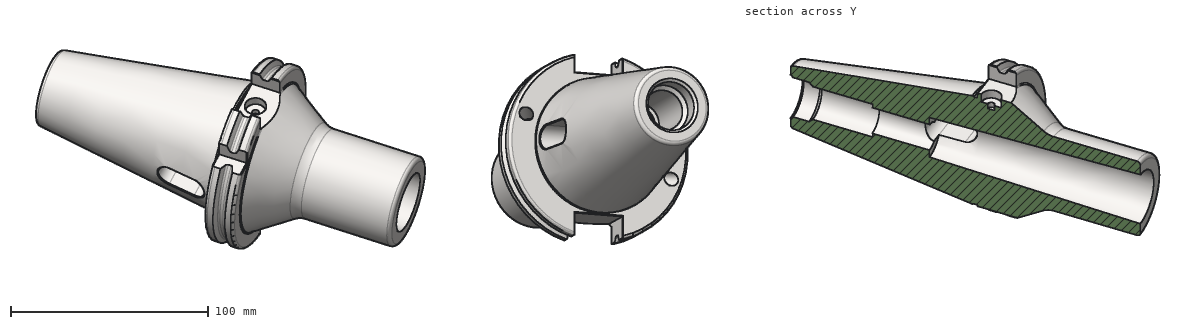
import cadquery as cq
import math


GAUGE_DIAMETER = 69.85
TAPER_RATIO = 7 / 24
SHANK_LENGTH = 101.75
SHANK_END_FILLET = 2.0
NECK_START = 0.5
NECK_END = 1.5
NECK_RADIUS = 34.6

FLANGE_DIAMETER = 97.5
FLANGE_START = 3.2
FLANGE_WIDTH = 15.9
RIM_FILLET = 1.5
GROOVE_CENTER = 11.2
GROOVE_RADIUS = 45.65
GROOVE_FLOOR_WIDTH = 3.0
GROOVE_WALL_ANGLE = 30.0
GROOVE_FLOOR_FILLET = 1.2

NOSE_DIAMETER = 48.0
NOSE_LENGTH = 95.0
NOSE_END_FILLET = 2.0
CONE_START_RADIUS = 39.9
CONE_ANGLE = 33.5
CONE_START_FILLET = 1.0
CONE_END_FILLET = 10.0

KEYWAY_WIDTH = 25.7
EDGE_CHAMFER = 0.5
BEVEL_ANGLE = 45.0
TOP_KEYWAY_HEIGHT = 37.7
BOTTOM_KEYWAY_HEIGHT = 35.4
NOTCH_WALL_OFFSET = 30.1
NOTCH_FLOOR_HEIGHT = 29.7

MOUTH_RADIUS = 14.0
PILOT_RADIUS = 12.5
PILOT_DEPTH = 10.5
THREAD_RADIUS = 10.4
THREAD_DEPTH = 46.0
THROUGH_RADIUS = 8.1

SOCKET_DIAMETER = 31.267
SOCKET_TAPER = 1 / 19.254
SOCKET_DEPTH = 118.5
SLOT_START = -29.8
SLOT_END = -3.0
SLOT_WIDTH = 12.2
SLOT_EDGE_CHAMFER = 0.5

SCREW_CENTER = 11.1
SCREW_DIAMETER = 10.9
SCREW_RECESS_DEPTH = 5.0
SOCKET_HOLE_DIAMETER = 3.6
SOCKET_HOLE_DEPTH = 3.0

COOLANT_RADIUS = 41.7
COOLANT_ANGLE = 19.5
COOLANT_DIAMETER = 6.8
COOLANT_TILT = 27.0
COOLANT_DEPTH = 16.0

flange_radius = FLANGE_DIAMETER / 2
flange_end = FLANGE_START + FLANGE_WIDTH
nose_radius = NOSE_DIAMETER / 2


def taper_radius(x):
    """Radius of the steep taper at position x."""
    return (GAUGE_DIAMETER + x * TAPER_RATIO) / 2


def revolve_about_x(points):
    """Solid of revolution from (x, radius) points."""
    return cq.Workplane("XZ").polyline(points).close().revolve(360, (0, 0, 0), (1, 0, 0))


def box(x0, x1, y0, y1, z0, z1):
    """Box between two opposite corners."""
    block = cq.Workplane("XY").box(x1 - x0, y1 - y0, z1 - z0, centered=False)
    return block.translate((x0, y0, z0))


def circle_edges_at(body, x, radius):
    """Circular edges of a revolved body at position x with the given radius."""
    tol = 0.01
    selector = cq.selectors.BoxSelector(
        (x - tol, -radius - tol, -radius - tol), (x + tol, radius + tol, radius + tol), boundingbox=True
    )
    edges = body.edges("%CIRCLE").edges(selector)
    return edges.filter(lambda edge: abs(edge.radius() - radius) < tol)


def make_shank():
    small_radius = taper_radius(-SHANK_LENGTH)
    shank = revolve_about_x([
        (-SHANK_LENGTH, 0),
        (-SHANK_LENGTH, small_radius),
        (NECK_START, taper_radius(NECK_START)),
        (NECK_END, NECK_RADIUS),
        (FLANGE_START, NECK_RADIUS),
        (FLANGE_START, 0),
    ])
    return circle_edges_at(shank, -SHANK_LENGTH, small_radius).fillet(SHANK_END_FILLET)


def make_flange():
    flange = cq.Workplane("YZ").workplane(offset=FLANGE_START).circle(flange_radius).extrude(FLANGE_WIDTH)
    return flange.edges().fillet(RIM_FILLET)


def make_groove():
    """Ring cutter for the gripper groove: a V with a flat floor and rounded floor corners."""
    floor_half = GROOVE_FLOOR_WIDTH / 2
    depth = flange_radius - GROOVE_RADIUS
    mouth_half = floor_half + depth * math.tan(math.radians(GROOVE_WALL_ANGLE))
    floor_start = GROOVE_CENTER - floor_half
    floor_end = GROOVE_CENTER + floor_half
    groove = revolve_about_x([
        (floor_start, GROOVE_RADIUS),
        (floor_end, GROOVE_RADIUS),
        (GROOVE_CENTER + mouth_half, flange_radius),
        (GROOVE_CENTER - mouth_half, flange_radius),
    ])
    for x in (floor_start, floor_end):
        groove = circle_edges_at(groove, x, GROOVE_RADIUS).fillet(GROOVE_FLOOR_FILLET)
    return groove


def make_rear_body():
    cone_length = (CONE_START_RADIUS - nose_radius) / math.tan(math.radians(CONE_ANGLE))
    cone_end = flange_end + cone_length
    body = revolve_about_x([
        (FLANGE_START, 0),
        (FLANGE_START, NECK_RADIUS),
        (flange_end, CONE_START_RADIUS),
        (cone_end, nose_radius),
        (NOSE_LENGTH, nose_radius),
        (NOSE_LENGTH, 0),
    ])
    body = circle_edges_at(body, cone_end, nose_radius).fillet(CONE_END_FILLET)
    return circle_edges_at(body, NOSE_LENGTH, nose_radius).fillet(NOSE_END_FILLET)


def flared_recess(y0, y1, floor, length):
    """Cutter from the front of the flange, open above its floor, with a flared front edge."""
    recess = box(FLANGE_START, FLANGE_START + length, y0, y1, floor, 2 * flange_radius)
    flare = (
        cq.Workplane("YZ")
        .workplane(offset=FLANGE_START)
        .center((y0 + y1) / 2, (floor + 2 * flange_radius) / 2)
        .rect(y1 - y0 + 2 * EDGE_CHAMFER, 2 * flange_radius - floor + 2 * EDGE_CHAMFER)
        .extrude(EDGE_CHAMFER, taper=BEVEL_ANGLE)
    )
    return recess.union(flare)


def rim_flare(wall_y, wall_z):
    """Square bar along the flange, turned onto its corner, that bevels the rim corner at (wall_y, wall_z)."""
    return (
        cq.Workplane("YZ")
        .workplane(offset=FLANGE_START)
        .center(wall_y, wall_z)
        .transformed(rotate=(0, 0, BEVEL_ANGLE))
        .rect(EDGE_CHAMFER * math.sqrt(2), EDGE_CHAMFER * math.sqrt(2))
        .extrude(FLANGE_WIDTH)
    )


def make_keyway(floor):
    """Cutter for a drive keyway above the given floor height, running on over the cone."""
    half = KEYWAY_WIDTH / 2
    corner_height = math.sqrt(flange_radius**2 - half**2)
    keyway = flared_recess(-half, half, floor, NOSE_LENGTH - FLANGE_START)
    for y in (-half, half):
        keyway = keyway.union(rim_flare(y, corner_height))
    return keyway


def make_notch():
    """Corner cutter on the -Y, +Z side, flared at both flange faces."""
    notch = flared_recess(-2 * flange_radius, -NOTCH_WALL_OFFSET, NOTCH_FLOOR_HEIGHT, FLANGE_WIDTH)
    middle = FLANGE_START + FLANGE_WIDTH / 2
    return notch.union(notch.mirror("YZ", (middle, 0, 0)))


def make_bore():
    pilot_end = -SHANK_LENGTH + PILOT_DEPTH
    thread_end = -SHANK_LENGTH + THREAD_DEPTH
    mouth_chamfer = MOUTH_RADIUS - PILOT_RADIUS
    thread_chamfer = PILOT_RADIUS - THREAD_RADIUS
    socket_end = NOSE_LENGTH - SOCKET_DEPTH
    socket_mouth = SOCKET_DIAMETER / 2
    socket_bottom = socket_mouth - SOCKET_DEPTH * SOCKET_TAPER / 2
    return revolve_about_x([
        (-SHANK_LENGTH, 0),
        (-SHANK_LENGTH, MOUTH_RADIUS),
        (-SHANK_LENGTH + mouth_chamfer, PILOT_RADIUS),
        (pilot_end, PILOT_RADIUS),
        (pilot_end + thread_chamfer, THREAD_RADIUS),
        (thread_end, THREAD_RADIUS),
        (thread_end, THROUGH_RADIUS),
        (socket_end, THROUGH_RADIUS),
        (socket_end, socket_bottom),
        (NOSE_LENGTH, socket_mouth),
        (NOSE_LENGTH, 0),
    ])


def make_tang_slot():
    return (
        cq.Workplane("XZ")
        .center((SLOT_START + SLOT_END) / 2, 0)
        .slot2D(SLOT_END - SLOT_START, SLOT_WIDTH)
        .extrude(flange_radius, both=True)
    )


def make_screw_hole():
    plane = cq.Workplane("XY").workplane(offset=TOP_KEYWAY_HEIGHT).center(SCREW_CENTER, 0)
    recess = plane.circle(SCREW_DIAMETER / 2).extrude(-SCREW_RECESS_DEPTH)
    socket_depth = SCREW_RECESS_DEPTH + SOCKET_HOLE_DEPTH
    return recess.union(plane.circle(SOCKET_HOLE_DIAMETER / 2).extrude(-socket_depth))


def make_coolant_hole(angle):
    """Hole that leans towards the axis as it goes in, placed at an angle about X."""
    hole = cq.Workplane("YZ").circle(COOLANT_DIAMETER / 2).extrude(COOLANT_DEPTH, both=True)
    hole = hole.rotate((0, 0, 0), (0, 0, 1), -COOLANT_TILT)
    hole = hole.translate((FLANGE_START, COOLANT_RADIUS, 0))
    return hole.rotate((0, 0, 0), (1, 0, 0), angle)


def chamfer_tang_slot(body):
    """Chamfer the outer rims of the tang slot on both sides of the taper."""
    margin = SLOT_EDGE_CHAMFER
    half_width = SLOT_WIDTH / 2 + margin
    rim_depth = taper_radius(SLOT_START) - SLOT_WIDTH / 4
    for y0, y1 in ((-flange_radius, -rim_depth), (rim_depth, flange_radius)):
        selector = cq.selectors.BoxSelector(
            (SLOT_START - margin, y0, -half_width), (SLOT_END + margin, y1, half_width), boundingbox=True
        )
        body = body.edges(selector).chamfer(SLOT_EDGE_CHAMFER)
    return body


result = make_shank().union(make_flange()).union(make_rear_body())
result = circle_edges_at(result, flange_end, CONE_START_RADIUS).fillet(CONE_START_FILLET)
result = result.cut(make_bore())
result = chamfer_tang_slot(result.cut(make_tang_slot()))
result = result.cut(make_keyway(TOP_KEYWAY_HEIGHT))
result = result.cut(make_keyway(BOTTOM_KEYWAY_HEIGHT).rotate((0, 0, 0), (1, 0, 0), 180))
result = result.cut(make_notch())
result = result.cut(make_groove())
result = result.cut(make_screw_hole())
for hole_angle in (COOLANT_ANGLE, COOLANT_ANGLE + 180):
    result = result.cut(make_coolant_hole(hole_angle))